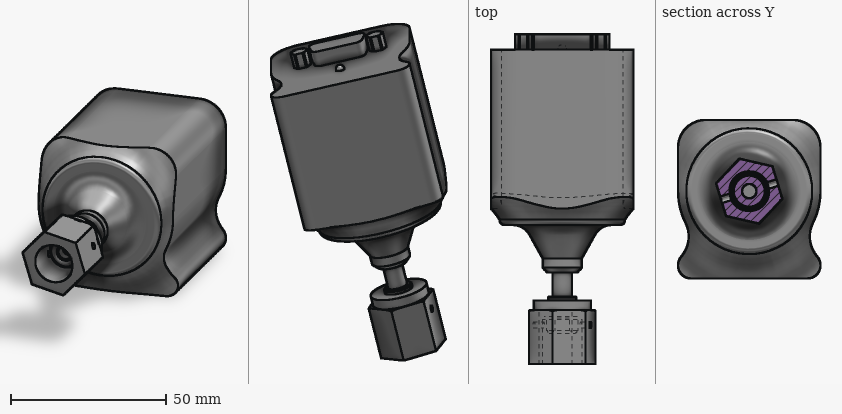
import cadquery as cq
import math


HALF_WIDTH = 23.0
TOP_Z = 23.0
BOTTOM_Z = -28.16
TOP_CORNER_RADIUS = 9.0
WAIST_HALF_WIDTH = 19.55
WAIST_Z = -14.6
WAIST_RADIUS = 10.0

FRONT_Y = -56.6
RIM_RADIUS = 40.6 / 2
RIM_ROUNDING = 1.8
COVE_RADIUS = 17.0
COVE_OUTER_RADIUS = 35.0
COVE_START_Y = -46.3
ENVELOPE_RADIUS = 45.0

FLARE_RADIUS = 6.0
CONE_HALF_ANGLE = math.radians(29.0)
NECK_RADIUS = 12.7 / 2
CONE_END_Y = -67.3
NECK_CHAMFER_Y = -70.3
NECK_END_Y = -71.9
NECK_END_RADIUS = 9.6 / 2
TUBE_RADIUS = 6.35 / 2

COLLAR_RADIUS = 9.14 / 2
COLLAR_Y = -79.5
COLLAR_CHAMFER = 0.4
FLANGE_RADIUS = 18.54 / 2
FLANGE_Y = -80.8
NUT_Y = -84.0
NUT_END_Y = -101.4
NUT_ACROSS_FLATS = 19.05
NUT_ANGLE = 47.0
NUT_CHAMFER_RADIAL = 0.6
NUT_CHAMFER_AXIAL = 0.25
BORE_RADIUS = 12.7 / 2
BORE_FLOOR_Y = -87.0
RELIEF_RADIUS = 11.43 / 2
RELIEF_FLOOR_Y = -86.0
GLAND_RADIUS = 10.16 / 2
GLAND_FACE_Y = -90.5
BEAD_OUTER_RADIUS = 4.8
BEAD_INNER_RADIUS = 2.8
GLAND_HOLE_RADIUS = 4.57 / 2
GLAND_HOLE_DEPTH = 4.0
TEST_PORT_RADIUS = 2.03 / 2
TEST_PORT_Y = -88.75

CONNECTOR_LENGTH = 4.97
SHELL_WIDTH = 18.5
SHELL_HEIGHT = 9.3
SHELL_SIDE_ANGLE = math.radians(10.0)
SHELL_CORNER_RADIUS = 2.3
JACK_SPACING = 25.0
JACK_ACROSS_FLATS = 5.1
JACK_CLIP_RADIUS = 2.8
LAMP_RADIUS = 2.8 / 2
LAMP_Z = -13.3
LAMP_STEM = 0.2

HEX_HALF_ANGLE = 30.0
OVERLAP = 0.5


def cylinder(radius, y_from, y_to):
    """Round bar along the Y axis."""
    return cq.Workplane("XZ", origin=(0, y_from, 0)).circle(radius).extrude(y_from - y_to)


def hexagon_corner_diameter(across_flats):
    return across_flats / math.cos(math.radians(HEX_HALF_ANGLE))


def hexagon(across_flats, angle, y_from, y_to):
    """Hexagonal bar along the Y axis with one corner at the given angle from +X."""
    bar = cq.Workplane("XZ").polygon(6, hexagon_corner_diameter(across_flats)).extrude(y_from - y_to)
    return bar.rotate((0, 0, 0), (0, 1, 0), -angle).translate((0, y_from, 0))


def revolve_about_y(profile):
    """Close a half profile in the XY plane and spin it around the Y axis."""
    return profile.close().revolve(360, (0, 0, 0), (0, 1, 0))


def toward(start, end, distance):
    """Point at the given distance from start on the line to end."""
    length = math.dist(start, end)
    return tuple(a + (b - a) * distance / length for a, b in zip(start, end))


def housing_section():
    """Square-shouldered section that narrows to a concave waist above two rounded feet."""
    waist_center = (WAIST_HALF_WIDTH + WAIST_RADIUS, WAIST_Z)
    recess = HALF_WIDTH - WAIST_HALF_WIDTH
    shoulder_radius = (recess**2 + WAIST_Z**2) / (2 * recess) - WAIST_RADIUS
    shoulder_center = (HALF_WIDTH - shoulder_radius, 0)
    gap_x = waist_center[0] - HALF_WIDTH
    gap_z = WAIST_Z - BOTTOM_Z
    linear = gap_z + WAIST_RADIUS - gap_x
    constant = gap_x**2 + gap_z**2 - WAIST_RADIUS**2
    foot_radius = linear - math.sqrt(linear**2 - constant)
    foot_center = (HALF_WIDTH - foot_radius, BOTTOM_Z + foot_radius)

    shoulder_end = toward(shoulder_center, waist_center, shoulder_radius)
    shoulder_middle = toward(
        shoulder_center,
        ((HALF_WIDTH + shoulder_end[0]) / 2, shoulder_end[1] / 2),
        shoulder_radius,
    )
    waist_middle = (WAIST_HALF_WIDTH, WAIST_Z)
    foot_start = toward(foot_center, waist_center, foot_radius)
    foot_side = (HALF_WIDTH, foot_center[1])
    foot_end = (foot_center[0], BOTTOM_Z)

    half = (
        cq.Workplane("XZ")
        .moveTo(0, TOP_Z)
        .lineTo(HALF_WIDTH - TOP_CORNER_RADIUS, TOP_Z)
        .radiusArc((HALF_WIDTH, TOP_Z - TOP_CORNER_RADIUS), TOP_CORNER_RADIUS)
        .lineTo(HALF_WIDTH, 0)
        .threePointArc(shoulder_middle, shoulder_end)
        .threePointArc(waist_middle, foot_start)
        .threePointArc(foot_side, foot_end)
        .lineTo(0, BOTTOM_Z)
    )
    return half.mirrorY()


def make_housing():
    block = housing_section().extrude(-FRONT_Y)
    cove_center_y = COVE_START_Y - COVE_RADIUS
    rim_offset = COVE_OUTER_RADIUS - RIM_RADIUS
    rim_y = cove_center_y + math.sqrt(COVE_RADIUS**2 - rim_offset**2)
    envelope = (
        cq.Workplane("XY")
        .lineTo(ENVELOPE_RADIUS, 0)
        .lineTo(ENVELOPE_RADIUS, COVE_START_Y)
        .lineTo(COVE_OUTER_RADIUS, COVE_START_Y)
        .radiusArc((RIM_RADIUS, rim_y), -COVE_RADIUS)
        .lineTo(RIM_RADIUS, FRONT_Y + RIM_ROUNDING)
        .radiusArc((RIM_RADIUS - RIM_ROUNDING, FRONT_Y), RIM_ROUNDING)
        .lineTo(0, FRONT_Y)
    )
    return block.intersect(revolve_about_y(envelope))


def make_neck():
    """Cone flaring smoothly out of the housing front and ending in a chamfered sleeve."""
    cone_base_radius = NECK_RADIUS + (FRONT_Y - CONE_END_Y) * math.tan(CONE_HALF_ANGLE)
    tangent = FLARE_RADIUS * math.tan((math.pi / 2 - CONE_HALF_ANGLE) / 2)
    flare_outer = (cone_base_radius + tangent, FRONT_Y)
    flare_inner = (
        cone_base_radius - tangent * math.sin(CONE_HALF_ANGLE),
        FRONT_Y - tangent * math.cos(CONE_HALF_ANGLE),
    )
    profile = (
        cq.Workplane("XY")
        .moveTo(0, FRONT_Y + OVERLAP)
        .lineTo(flare_outer[0], FRONT_Y + OVERLAP)
        .lineTo(*flare_outer)
        .radiusArc(flare_inner, -FLARE_RADIUS)
        .lineTo(NECK_RADIUS, CONE_END_Y)
        .lineTo(NECK_RADIUS, NECK_CHAMFER_Y)
        .lineTo(NECK_END_RADIUS, NECK_END_Y)
        .lineTo(0, NECK_END_Y)
    )
    return revolve_about_y(profile)


def make_tube():
    tube = cylinder(TUBE_RADIUS, NECK_END_Y + OVERLAP, FLANGE_Y - OVERLAP)
    collar = cylinder(COLLAR_RADIUS, COLLAR_Y, FLANGE_Y - OVERLAP).faces(">Y").chamfer(COLLAR_CHAMFER)
    return tube.union(collar)


def make_nut():
    corner_radius = hexagon_corner_diameter(NUT_ACROSS_FLATS) / 2
    hexagonal = hexagon(NUT_ACROSS_FLATS, NUT_ANGLE, NUT_Y, NUT_END_Y)
    corner_trim = (
        cq.Workplane("XY")
        .moveTo(0, NUT_Y)
        .lineTo(corner_radius - NUT_CHAMFER_RADIAL, NUT_Y)
        .lineTo(corner_radius, NUT_Y - NUT_CHAMFER_AXIAL)
        .lineTo(corner_radius, NUT_END_Y)
        .lineTo(0, NUT_END_Y)
    )
    nut = hexagonal.intersect(revolve_about_y(corner_trim))
    nut = nut.union(cylinder(FLANGE_RADIUS, FLANGE_Y, NUT_Y - OVERLAP))
    nut = nut.cut(cylinder(BORE_RADIUS, BORE_FLOOR_Y, NUT_END_Y))
    nut = nut.cut(cylinder(RELIEF_RADIUS, RELIEF_FLOOR_Y, NUT_END_Y))
    test_ports = (
        cq.Workplane("YZ", origin=(0, TEST_PORT_Y, 0))
        .circle(TEST_PORT_RADIUS)
        .extrude(NUT_ACROSS_FLATS, both=True)
        .rotate((0, 0, 0), (0, 1, 0), HEX_HALF_ANGLE - NUT_ANGLE)
    )
    return nut.cut(test_ports)


def make_gland():
    """Blind-bored gland with a rounded sealing bead on its face."""
    bead_radius = (BEAD_OUTER_RADIUS - BEAD_INNER_RADIUS) / 2
    bead_middle = (BEAD_OUTER_RADIUS + BEAD_INNER_RADIUS) / 2
    hole_floor_y = GLAND_FACE_Y + GLAND_HOLE_DEPTH
    profile = (
        cq.Workplane("XY")
        .moveTo(0, RELIEF_FLOOR_Y + OVERLAP)
        .lineTo(GLAND_RADIUS, RELIEF_FLOOR_Y + OVERLAP)
        .lineTo(GLAND_RADIUS, GLAND_FACE_Y)
        .lineTo(BEAD_OUTER_RADIUS, GLAND_FACE_Y)
        .threePointArc((bead_middle, GLAND_FACE_Y - bead_radius), (BEAD_INNER_RADIUS, GLAND_FACE_Y))
        .lineTo(GLAND_HOLE_RADIUS, GLAND_FACE_Y)
        .lineTo(GLAND_HOLE_RADIUS, hole_floor_y)
        .lineTo(0, hole_floor_y)
    )
    return revolve_about_y(profile)


def make_connector_shell():
    """D-shaped shell, wider at the top."""
    half_height = SHELL_HEIGHT / 2
    corner_setback = SHELL_CORNER_RADIUS * (1 / math.tan((math.pi / 2 - SHELL_SIDE_ANGLE) / 2) - 1)
    top_half_width = SHELL_WIDTH / 2 + corner_setback
    bottom_half_width = top_half_width - SHELL_HEIGHT * math.tan(SHELL_SIDE_ANGLE)
    corners = [
        (-top_half_width, half_height),
        (top_half_width, half_height),
        (bottom_half_width, -half_height),
        (-bottom_half_width, -half_height),
    ]
    shell = cq.Workplane("XZ", origin=(0, CONNECTOR_LENGTH, 0)).polyline(corners).close()
    return shell.extrude(CONNECTOR_LENGTH + OVERLAP).edges("|Y").fillet(SHELL_CORNER_RADIUS)


def make_jack_screw(x):
    """Hexagonal post with its corners turned down to a cylinder."""
    post = hexagon(JACK_ACROSS_FLATS, 0, CONNECTOR_LENGTH, -OVERLAP)
    return post.intersect(cylinder(JACK_CLIP_RADIUS, CONNECTOR_LENGTH, -OVERLAP)).translate((x, 0, 0))


def make_lamp():
    stem = cylinder(LAMP_RADIUS, LAMP_STEM, -OVERLAP)
    dome = cq.Workplane("XY").sphere(LAMP_RADIUS).translate((0, LAMP_STEM, 0))
    return stem.union(dome).translate((0, 0, LAMP_Z))


result = make_housing().union(make_neck()).union(make_tube()).union(make_nut()).union(make_gland())
result = result.union(make_connector_shell()).union(make_lamp())
for side in (-1, 1):
    result = result.union(make_jack_screw(side * JACK_SPACING / 2))